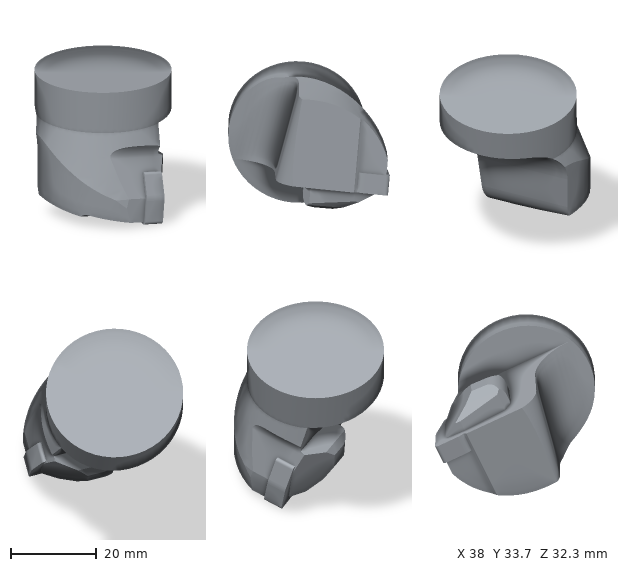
import cadquery as cq
import math

shank_radius = 16.0
shank_length = 10.0
flare_angle = 18.4
flare_end_z = -25.0
flare_end_radius = shank_radius + (-flare_end_z - shank_length) * math.tan(math.radians(flare_angle))
skirt_angle = 9.5
blank_bottom_z = -40.0
skirt_end_radius = flare_end_radius + (flare_end_z - blank_bottom_z) * math.tan(math.radians(skirt_angle))
reach = 60.0

relief_angle = 5.0
wall_x = -3.74
wall_top_z = -17.3
wall_bottom_z = -25.2
neck_radius = 10.0
toe_radius = 6.0

heel_point = (-8.0, -15.4)
belly_points = [(-4.0, -16.62), (3.4, -17.68), (12.3, -15.5), (18.2, -10.55)]
flank_point = (21.3, -4.5)

bottom_point = (0.6, 3.8, -30.86)
bottom_slope_x = -0.105
bottom_slope_y = -0.114

rake_y = 7.86
rake_slope_x = 0.162
rake_slope_z = 0.133


def rake_point(x, z):
    """Point on the rake plane at the given X and Z."""
    return (x, rake_y + rake_slope_z * z - rake_slope_x * x, z)


inscribed_radius = 9.525 / 2
insert_thickness = 4.76
corner_angle = 80.0
nose_radius = 0.8
side_vertex_radius = 3.5
nose_direction = -45.0
insert_center_x = 17.0
insert_center_z = -27.2

upper_overhang = 0.8
lower_overhang = 0.55
upper_gullet_radius = 2.4
lower_gullet_radius = 1.9
side_bend = 20.0
lower_flank_normal = nose_direction - (90 - corner_angle / 2)
upper_flank_normal = nose_direction + (90 - corner_angle / 2) + side_bend
upper_gullet_offset = 9.05
lower_gullet_offset = -0.8

pad_tilt = 3.8
pad_root = -1.5
pad_left_u = -14.5
pad_wall_height = 2.7
pad_height = 6.2
pad_round_span = 3.5
pad_crest_u = -7.2
pad_right_u = 2.2
pad_right_height = 0.2
pad_top_v = 11.5
pad_top_shoulder = (8.4, 4.9)
pad_crest_top_v = 6.4
pad_crest_bottom_v = 2.3
pad_bottom_shoulder = (-0.7, 4.8)
pad_bottom_v = -3.0
pad_bottom_wall_height = 2.4
pad_left_top_v = 8.4
pad_left_bottom_v = 0.9
pad_heel_offset = (1.6, -1.2)
pad_end_offset = 12.0

insert_plane = cq.Plane(
    origin=rake_point(insert_center_x, insert_center_z),
    xDir=(1, -rake_slope_x, 0),
    normal=(-rake_slope_x, -1, rake_slope_z),
)


def polar(radius, angle):
    """In-plane point at a distance and an angle in degrees."""
    return (radius * math.cos(math.radians(angle)), radius * math.sin(math.radians(angle)))


def trigon_points(radius):
    """Corners of a trigon, alternately 80 degree noses and blunt side vertices, nose first."""
    half_corner = math.radians(corner_angle / 2)
    nose_distance = radius / math.sin(half_corner)
    side_distance = radius / math.sin(math.radians(120) - half_corner)
    distances = (nose_distance, side_distance) * 3
    return [polar(d, nose_direction + 60 * i) for i, d in enumerate(distances)]


def make_insert():
    """Trigon plate with rounded noses and softly rounded side vertices."""
    points = trigon_points(inscribed_radius)
    body = cq.Workplane(insert_plane).polyline(points).close().extrude(insert_thickness)
    for index, point in enumerate(points):
        radius = side_vertex_radius if index % 2 else nose_radius
        corner = insert_plane.toWorldCoords((point[0], point[1], insert_thickness / 2))
        body = body.edges(cq.selectors.NearestToPointSelector(corner.toTuple())).fillet(radius)
    return body


def make_blank():
    """Shank, flare cone and steeper skirt cone turned about Z."""
    return (
        cq.Workplane("XZ")
        .polyline([
            (0, 0),
            (shank_radius, 0),
            (shank_radius, -shank_length),
            (flare_end_radius, flare_end_z),
            (skirt_end_radius, blank_bottom_z),
            (0, blank_bottom_z),
        ])
        .close()
        .revolve(360, (0, 0, 0), (0, 1, 0))
    )


relief_slope = math.tan(math.radians(relief_angle))
neck_center = (wall_x - neck_radius, wall_top_z)
neck_start = (
    neck_center[0] + neck_radius * math.sin(math.radians(relief_angle)),
    neck_center[1] + neck_radius * math.cos(math.radians(relief_angle)),
)


def underside_z(x):
    """Height of the sloped shank underside."""
    return neck_start[1] - relief_slope * (x - neck_start[0])


def back_relief():
    """Space behind the head, swept along Y."""
    neck_middle = polar(neck_radius, (90 - relief_angle) / 2)
    toe_middle = polar(toe_radius, 225)
    toe_center = (wall_x + toe_radius, wall_bottom_z)
    return (
        cq.Workplane("XZ")
        .moveTo(-reach, underside_z(-reach))
        .lineTo(*neck_start)
        .threePointArc(
            (neck_center[0] + neck_middle[0], neck_center[1] + neck_middle[1]),
            (wall_x, wall_top_z),
        )
        .lineTo(wall_x, wall_bottom_z)
        .threePointArc(
            (toe_center[0] + toe_middle[0], toe_center[1] + toe_middle[1]),
            (toe_center[0], toe_center[1] - toe_radius),
        )
        .lineTo(toe_center[0], -reach)
        .lineTo(-reach, -reach)
        .close()
        .extrude(reach, both=True)
    )


def rake_relief():
    """Space on the +Y side of the rake plane and below the sloped shank underside."""
    in_front = cq.Workplane(insert_plane).rect(2 * reach, 2 * reach).extrude(-reach)
    below = (
        cq.Workplane("XZ")
        .polyline([
            (-reach, underside_z(-reach)),
            (reach, underside_z(reach)),
            (reach, -2 * reach),
            (-reach, -2 * reach),
        ])
        .close()
        .extrude(reach, both=True)
    )
    return in_front.intersect(below)


def plan_envelope():
    """Vertical prism that bounds the head on the -Y side."""
    return (
        cq.Workplane("XY")
        .moveTo(*heel_point)
        .spline([*belly_points, flank_point], includeCurrent=True)
        .lineTo(reach, flank_point[1])
        .lineTo(reach, reach)
        .lineTo(heel_point[0], reach)
        .close()
        .extrude(blank_bottom_z)
    )


def bottom_relief():
    """Space below the doubly sloped bottom face."""
    bottom_plane = cq.Plane(
        origin=bottom_point,
        xDir=(1, 0, bottom_slope_x),
        normal=(bottom_slope_x, bottom_slope_y, -1),
    )
    return cq.Workplane(bottom_plane).rect(2 * reach, 2 * reach).extrude(reach)


def flank_relief():
    """Space outside the flanks that run just inside the working sides of the insert."""
    upper_distance = inscribed_radius - upper_overhang
    lower_distance = inscribed_radius - lower_overhang
    upper_vertex = trigon_points(upper_distance)[1]

    def beside_flank(distance, normal_angle, offset):
        normal_u, normal_v = polar(distance, normal_angle)
        along_u, along_v = polar(offset, normal_angle + 90)
        return (normal_u + along_u, normal_v + along_v)

    upper = (upper_flank_normal, upper_gullet_offset)
    lower = (lower_flank_normal, lower_gullet_offset)
    upper_gullet = beside_flank(upper_distance + upper_gullet_radius, *upper)
    lower_gullet = beside_flank(lower_distance + lower_gullet_radius, *lower)
    half_corner = math.radians(corner_angle / 2)
    nose_along = (upper_distance + lower_distance) / 2 / math.sin(half_corner)
    nose_across = (upper_distance - lower_distance) / 2 / math.cos(half_corner)
    along_u, along_v = polar(nose_along, nose_direction)
    across_u, across_v = polar(nose_across, nose_direction + 90)
    nose = (along_u + across_u, along_v + across_v)
    relief = (
        cq.Workplane(insert_plane)
        .polyline([
            upper_gullet,
            beside_flank(upper_distance, *upper),
            upper_vertex,
            nose,
            beside_flank(lower_distance, *lower),
            lower_gullet,
            (lower_gullet[0], -reach),
            (reach, -reach),
            (reach, upper_gullet[1]),
        ])
        .close()
        .extrude(reach, both=True)
    )
    for center, radius in ((upper_gullet, upper_gullet_radius), (lower_gullet, lower_gullet_radius)):
        gullet = cq.Workplane(insert_plane).center(*center).circle(radius).extrude(reach, both=True)
        relief = relief.union(gullet)
    return relief


def make_pad():
    """Clamp pad: a rounded, ramped section along v, trimmed by a chamfered section along u."""
    base = insert_plane.rotated((pad_tilt, 0, 0))
    across_plane = cq.Plane(origin=base.origin, xDir=base.xDir, normal=base.yDir)
    along_plane = cq.Plane(origin=base.origin, xDir=base.yDir, normal=-base.xDir)
    ramped = (
        cq.Workplane(across_plane)
        .moveTo(pad_left_u, pad_root)
        .lineTo(pad_left_u, pad_wall_height)
        .tangentArcPoint((pad_left_u + pad_round_span, pad_height), relative=False)
        .lineTo(pad_crest_u, pad_height)
        .lineTo(pad_right_u, pad_right_height)
        .lineTo(pad_right_u, pad_root)
        .close()
        .extrude(reach, both=True)
    )
    chamfered = (
        cq.Workplane(along_plane)
        .polyline([
            (pad_top_v, pad_root),
            pad_top_shoulder,
            (pad_crest_top_v, pad_height),
            (pad_crest_bottom_v, pad_height),
            pad_bottom_shoulder,
            (pad_bottom_v, pad_bottom_wall_height),
            (pad_bottom_v, pad_root),
        ])
        .close()
        .extrude(reach, both=True)
    )
    footprint = (
        cq.Workplane(base)
        .polyline([
            (pad_left_u, pad_left_top_v),
            (pad_left_u, pad_left_bottom_v),
            (pad_left_u + pad_heel_offset[0], pad_heel_offset[1]),
            (pad_left_u + pad_end_offset, pad_bottom_v),
            (pad_right_u, pad_bottom_v),
            (pad_right_u, pad_top_v),
            (pad_left_u + pad_end_offset, pad_top_v),
        ])
        .close()
        .extrude(reach, both=True)
    )
    return ramped.intersect(chamfered).intersect(footprint)


insert = make_insert()

relieved_blank = make_blank().cut(back_relief()).cut(rake_relief())
shank = relieved_blank.intersect(cq.Workplane("XY").rect(reach, reach).extrude(-shank_length))
holder = (
    relieved_blank.intersect(plan_envelope())
    .union(shank)
    .cut(bottom_relief())
    .union(make_pad())
    .cut(flank_relief())
    .cut(insert)
)

result = cq.Compound.makeCompound([holder.val(), insert.val()])